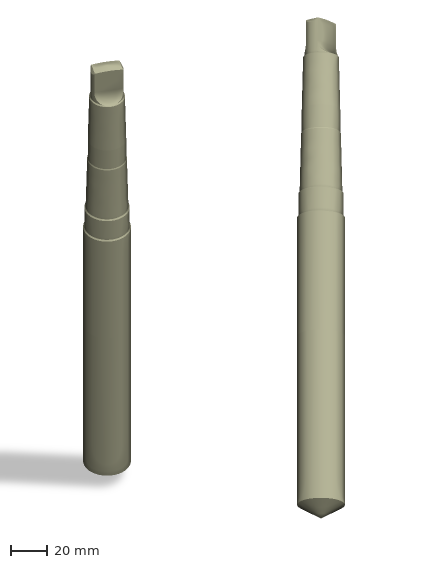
import cadquery as cq
import math

total_length = 286.0
cutting_end_z = 104.7
neck_start_z = 172.7
neck_end_z = 187.3
relief_start_z = 221.0
relief_end_z = 234.8
tang_start_z = 264.8

tool_radius = 13.2
neck_radius = 25.0 / 2
relief_radius = 21.2 / 2
tang_radius = 9.2

point_angle = 118.0
point_height = tool_radius / math.tan(math.radians(point_angle / 2))
taper_rate = 0.025
edge_chamfer = 0.72
tang_shoulder_height = 0.5
tang_bevel_width = 1.7
tang_bevel_height = 3.0
tang_crown_height = 1.0

tang_half_thickness = 4.15
tang_angle = 67.0
flat_runout_radius = 7.0
flat_start_z = tang_start_z + flat_runout_radius


def taper_radius(z):
    """Radius of the tapered shank, equal to the relief radius where the relief ends."""
    return relief_radius + taper_rate * (relief_end_z - z)


def revolve_profile(points):
    """Turn an (r, z) profile about the tool axis."""
    return cq.Workplane("XZ").polyline(points).close().revolve(360, (0, 0, 0), (0, 1, 0))


def make_cutting_end():
    """Plain cutting portion with a conical point."""
    return revolve_profile([
        (0, 0),
        (tool_radius, point_height),
        (tool_radius, cutting_end_z),
        (0, cutting_end_z),
    ])


def make_turned_shank():
    """Body, neck, relieved taper and round tang in one turned profile."""
    return revolve_profile([
        (0, cutting_end_z),
        (tool_radius, cutting_end_z),
        (tool_radius, neck_start_z),
        (neck_radius, neck_start_z + edge_chamfer),
        (neck_radius, neck_end_z - edge_chamfer),
        (taper_radius(neck_end_z), neck_end_z),
        (taper_radius(relief_start_z), relief_start_z),
        (relief_radius, relief_start_z + edge_chamfer),
        (relief_radius, relief_end_z),
        (taper_radius(tang_start_z), tang_start_z),
        (tang_radius, tang_start_z + tang_shoulder_height),
        (tang_radius, total_length - tang_crown_height),
        (0, total_length),
    ])


def make_flat_cutter(side):
    """Cutter for one tang flat; side is +1 or -1. Its lower end is a quarter-round runout."""
    flat_x = side * tang_half_thickness
    runout_x = side * (tang_half_thickness + flat_runout_radius)
    arc_offset = flat_runout_radius * (1 - math.sqrt(0.5))
    return (
        cq.Workplane("XZ")
        .moveTo(flat_x, total_length)
        .lineTo(flat_x, flat_start_z)
        .threePointArc((flat_x + side * arc_offset, tang_start_z + arc_offset), (runout_x, tang_start_z))
        .lineTo(runout_x, total_length)
        .close()
        .extrude(tool_radius, both=True)
        .rotate((0, 0, 0), (0, 0, 1), tang_angle - 90)
    )


def make_bevel_cutter(side):
    """Cutter for the flat bevel at one narrow end of the tang; side is +1 or -1."""
    outer_y = side * tang_radius
    return (
        cq.Workplane("YZ")
        .polyline([
            (outer_y - side * tang_bevel_width, total_length),
            (outer_y, total_length - tang_bevel_height),
            (outer_y, total_length),
        ])
        .close()
        .extrude(tool_radius, both=True)
        .rotate((0, 0, 0), (0, 0, 1), tang_angle - 90)
    )


def make_shank():
    """Turned shank with two opposite flats and two bevelled ends on the tang."""
    body = make_turned_shank()
    for side in (-1, 1):
        body = body.cut(make_flat_cutter(side)).cut(make_bevel_cutter(side))
    return body


cutting_end = make_cutting_end()
shank = make_shank()

result = cq.Compound.makeCompound([cutting_end.val(), shank.val()])